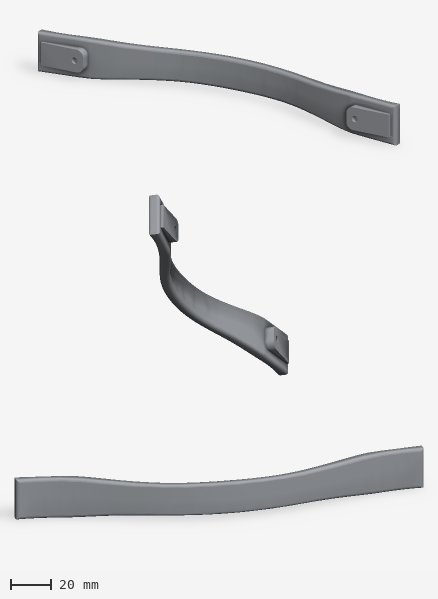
import cadquery as cq

length = 205.2
half_length = length / 2
bow_height = 27.5
bow_thickness = 5.0
end_width = 20.7
waist_width = 16.2
edge_radius = 1.5

seat_start_x = 74.9
seat_start_y = 4.7
seat_end_y = 1.0
end_outer_y = 7.0

crest_shoulder = (29.7, 24.2)
bow_flank = (52.1, 17.5)
bow_foot = (seat_start_x, 10.5)
inner_shoulder = (30.2, 19.0)
inner_flank = (52.1, 11.7)

full_width_x = 81.0
taper_x = 56.5
taper_width = 17.8

pad_inner_x = 75.3
pad_outer_x = 99.5
pad_width = 12.0
pad_corner_radius = 3.7
screw_x = 80.2
screw_diameter = 3.3
recess_depth = 0.5
recess_outer_x = 101.4


def mirrored(points, crest):
    """Left-to-right point list of a curve symmetric about x = 0."""
    left = [(-x, y) for x, y in points]
    right = list(reversed(points))
    return left + [(0, crest)] + right


def bow_profile():
    """Curved side profile of the handle, extruded across its width."""
    outer = mirrored([(half_length, end_outer_y), bow_foot, bow_flank, crest_shoulder], bow_height)
    inner = mirrored(
        [(seat_start_x, seat_start_y), inner_flank, inner_shoulder], bow_height - bow_thickness
    )
    return (
        cq.Workplane("XY", origin=(0, 0, -end_width / 2))
        .moveTo(*outer[0])
        .spline(outer[1:], includeCurrent=True)
        .lineTo(half_length, seat_end_y)
        .lineTo(*inner[-1])
        .spline(inner[-2::-1], includeCurrent=True)
        .lineTo(-half_length, seat_end_y)
        .close()
        .extrude(end_width)
    )


def width_outline():
    """Front outline: full width at the ends, drawn in to a waist."""
    upper = mirrored([(full_width_x, end_width / 2), (taper_x, taper_width / 2)], waist_width / 2)
    lower = [(x, -z) for x, z in reversed(upper)]
    along = [(1, 0), (1, 0)]
    back = [(-1, 0), (-1, 0)]
    return (
        cq.Workplane("XZ")
        .moveTo(-half_length, end_width / 2)
        .lineTo(*upper[0])
        .spline(upper[1:], tangents=along, includeCurrent=True)
        .lineTo(half_length, end_width / 2)
        .lineTo(half_length, -end_width / 2)
        .lineTo(*lower[0])
        .spline(lower[1:], tangents=back, includeCurrent=True)
        .lineTo(-half_length, -end_width / 2)
        .close()
        .extrude(-bow_height)
    )


def pad_footprint(outer_x):
    """Plan shape of a pad, rounded on the side nearest the middle."""
    return (
        cq.Workplane("XZ")
        .center((pad_inner_x + outer_x) / 2, 0)
        .rect(outer_x - pad_inner_x, pad_width)
        .extrude(-bow_height)
        .edges("|Y and <X")
        .fillet(pad_corner_radius)
    )


def seat_wedge(outer_x):
    """Space between the pad underside and recess floor at the +X end, out to outer_x."""
    wedge = (
        cq.Workplane("XY", origin=(0, 0, -pad_width / 2))
        .polyline([
            (seat_start_x, 0),
            (half_length, 0),
            (half_length, seat_end_y + recess_depth),
            (seat_start_x, seat_start_y + recess_depth),
        ])
        .close()
        .extrude(pad_width)
    )
    return wedge.intersect(pad_footprint(outer_x))


def make_handle():
    bow = bow_profile().intersect(width_outline())
    bow = bow.edges("(not (|Z or |Y)) or (|Z and (<X or >X))").fillet(edge_radius)
    recess = seat_wedge(recess_outer_x)
    return bow.cut(recess).cut(recess.mirror("YZ"))


def make_pad(side):
    """Wedge-shaped pad with a screw hole; side is +1 or -1 along X."""
    screw_hole = (
        cq.Workplane("XZ").center(screw_x, 0).circle(screw_diameter / 2).extrude(-bow_height)
    )
    pad = seat_wedge(pad_outer_x).cut(screw_hole)
    return pad if side > 0 else pad.mirror("YZ")


handle = make_handle()
pads = [make_pad(side) for side in (-1, 1)]
result = cq.Compound.makeCompound([handle.val(), *[pad.val() for pad in pads]])